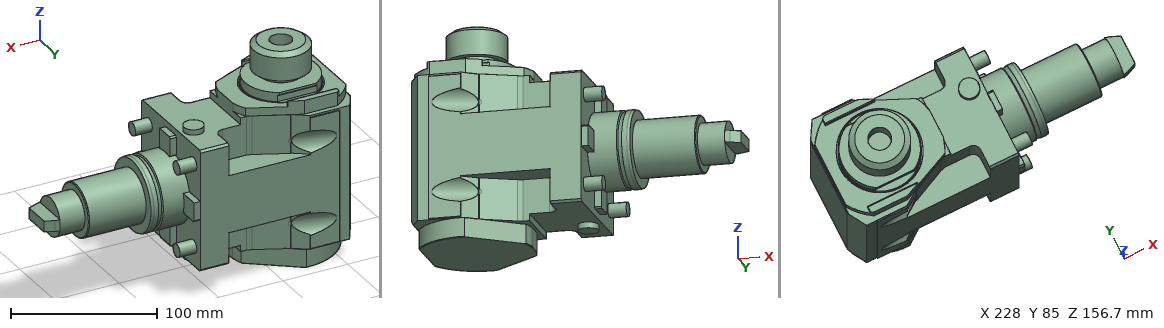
import cadquery as cq
import math


LEFT_X = -38.8
BODY_WIDTH = 85.0
HALF_WIDTH = BODY_WIDTH / 2
SIDE_RELIEF = 1.0
PAD_START_X = -22.8
PAD_TOP_GAP = 1.4
PAD_BOTTOM_GAP = 0.7
CORNER_X = -30.8
FRONT_HALF_WIDTH = 28.0
HOUSING_TOP = 52.0
HOUSING_BOTTOM = -51.5
HOUSING_RIGHT_X = 43.0
KINK_X, KINK_Y = 10.5, 34.2
KINK_STEP_X, KINK_STEP_Y = 0.5, 0.2
TAPER_END_X, TAPER_END_Y = 34.9, 23.3
WEB_HALF_WIDTH = 22.1
WEB_START_X = 38.5
FRONT_TOP_BEVEL = (0.7, 1.4)
FRONT_BOTTOM_BEVEL = (2.5, 4.0)

BEAM_HALF_HEIGHT = WEB_HALF_WIDTH
FLANGE_HALF_HEIGHT = 46.7
FLANGE_LEFT_X = 63.2
FLANGE_RIGHT_X = 85.0
FLANGE_CHAMFER = 1.5
POCKET_FILLET = 6.0

SCALLOP_DIAMETER = 19.4
SCALLOP_RADIUS = SCALLOP_DIAMETER / 2
SCALLOP_Z = 32.0
SCALLOP_ENTRY_X = -20.3
SCALLOP_EXIT_X = 11.6
SCALLOP_EXIT_Y = 34.0

PLATE_TOP = 58.1
PLATE_RADIUS = 44.5
PLATE_LEFT_X = -37.6
PLATE_HALF_WIDTH = 37.8
PLATE_TAPER_START = (2.3, PLATE_HALF_WIDTH)
PLATE_TAPER_END = (39.7, 21.2)
RAIL_TOP = 62.5
RAIL_INNER_Y = 32.1
RAIL_X = (-25.3, 12.5)
RAIL_BEVEL = 0.7
SEAT_RADIUS = 29.6
SEAT_DEPTH = 3.5
COLLAR_RADIUS = 28.5
COLLAR_TOP = 58.0
RING_RADIUS = 27.8
RING_TOP = 65.0
RING_LIP_HEIGHT = 2.0
RING_LIP_FLAT_Y = 24.0
RING_FLAT_Y = 23.3
NECK_RADIUS = 16.2
NECK_BASE_RADIUS = 13.7
NECK_CONE_TOP = 66.5
NUT_DIAMETER = 42.2
NUT_RADIUS = NUT_DIAMETER / 2
NUT_BOTTOM = 70.5
NUT_TOP = 91.2
NUT_BEVEL_RUN, NUT_BEVEL_DROP = 4.0, 3.0
BORE_DIAMETER = 16.2
BORE_DEPTH = 13.7

BASE_BOTTOM = -65.5
BASE_RADIUS = 41.0
BASE_LEFT_X = -35.0
BASE_RIGHT_X = 40.5
BASE_TAPER_START = (1.4, 41.7)
BASE_TAPER_END = (39.5, 13.5)
BASE_CHAMFER = 0.5

PIN_X, PIN_Y, PIN_RADIUS = 75.0, 13.7, 7.3
PIN_END_Z = 50.8
STUD_OFFSET, STUD_RADIUS, STUD_END_X = 32.0, 5.0, 98.0
KEY_END_X = 89.8
KEY_HALF_WIDTH = 7.5
KEY_REACH = 42.0
KEY_ROOT = 26.2
KEY_CHAMFER = 1.1

SPIGOT_RADIUS, SPIGOT_END_X = 27.4, 115.1
SPIGOT_BEVEL_RUN, SPIGOT_BEVEL_DROP = 2.0, 0.5
GROOVE_START_X, GROOVE_END_X, GROOVE_DEPTH = 105.8, 109.5, 1.1
GROOVE_WALL_RUN = 0.7
SHANK_RADIUS, SHANK_END_X, SHANK_CHAMFER = 20.0, 159.5, 0.7
TIP_RADIUS, TIP_END_X = 14.5, 178.8
TANG_THICKNESS = 8.5
TANG_SHOULDER_X, TANG_SHOULDER_Y = 182.2, 13.7
TANG_END_X, TANG_END_Y = 189.2, 10.7


def box(x0, x1, y0, y1, z0, z1):
    """Axis-aligned box between the given limits."""
    return cq.Workplane("XY").box(x1 - x0, y1 - y0, z1 - z0, centered=False).translate((x0, y0, z0))


def mirrored_prism(half_outline, z0, z1):
    """Prism whose outline is given for +Y and mirrored about the X axis."""
    other_half = [(x, -y) for x, y in reversed(half_outline)]
    outline = cq.Workplane("XY").workplane(offset=z0).polyline(half_outline + other_half).close()
    return outline.extrude(z1 - z0)


def disc(radius, z0, z1):
    """Upright cylinder about the Z axis."""
    return cq.Workplane("XY").workplane(offset=z0).circle(radius).extrude(z1 - z0)


def both_sides(solid):
    """Solid together with its mirror image across the XZ plane."""
    return solid.union(solid.mirror("XZ"))


def front_bevel(z_edge, bevel, direction):
    """Wedge that bevels the front face at a horizontal edge; direction is +1 for the top edge."""
    run, drop = bevel
    wedge = [(LEFT_X, z_edge), (LEFT_X + run, z_edge), (LEFT_X, z_edge - direction * drop)]
    return cq.Workplane("XZ").polyline(wedge).close().extrude(HALF_WIDTH, both=True)


def scallop(z):
    """Slanted round cutter entering the +Y side face and running out on the tapered side."""
    run = SCALLOP_EXIT_X - SCALLOP_ENTRY_X
    drop = HALF_WIDTH - SCALLOP_EXIT_Y
    length = math.hypot(run, drop)
    along = cq.Vector(run / length, -drop / length, 0)
    outward = cq.Vector(drop / length, run / length, 0)
    deepest = cq.Vector(SCALLOP_ENTRY_X, HALF_WIDTH, z)
    start = deepest + outward * SCALLOP_RADIUS - along * length
    return cq.Workplane(cq.Solid.makeCylinder(SCALLOP_RADIUS, 3 * length, start, along))


def make_housing():
    relief_y = HALF_WIDTH - SIDE_RELIEF
    core = mirrored_prism(
        [(LEFT_X, FRONT_HALF_WIDTH), (CORNER_X, relief_y), (0, relief_y), (KINK_X, KINK_Y),
         (KINK_X + KINK_STEP_X, KINK_Y + KINK_STEP_Y),
         (TAPER_END_X, TAPER_END_Y), (WEB_START_X, WEB_HALF_WIDTH), (HOUSING_RIGHT_X, WEB_HALF_WIDTH)],
        HOUSING_BOTTOM, HOUSING_TOP)
    pad_bottom = HOUSING_BOTTOM + PAD_BOTTOM_GAP
    pad_top = HOUSING_TOP - PAD_TOP_GAP
    pads = box(PAD_START_X, 0, -HALF_WIDTH, HALF_WIDTH, pad_bottom, pad_top)
    core = core.cut(front_bevel(HOUSING_TOP, FRONT_TOP_BEVEL, 1))
    core = core.cut(front_bevel(HOUSING_BOTTOM, FRONT_BOTTOM_BEVEL, -1))
    housing = core.union(pads)
    for z in (-SCALLOP_Z, SCALLOP_Z):
        housing = housing.cut(both_sides(scallop(z)))
    return housing


def make_beam_and_flange():
    flange = box(FLANGE_LEFT_X, FLANGE_RIGHT_X, -HALF_WIDTH, HALF_WIDTH,
                 -FLANGE_HALF_HEIGHT, FLANGE_HALF_HEIGHT)
    flange = flange.edges("|X").chamfer(FLANGE_CHAMFER)
    web = box(0, FLANGE_LEFT_X, -WEB_HALF_WIDTH, WEB_HALF_WIDTH,
              -FLANGE_HALF_HEIGHT, FLANGE_HALF_HEIGHT)
    body = flange.union(web)
    margin = POCKET_FILLET / 2
    inner_corners = cq.selectors.BoxSelector(
        (FLANGE_LEFT_X - margin, -WEB_HALF_WIDTH - margin, -margin),
        (FLANGE_LEFT_X + margin, WEB_HALF_WIDTH + margin, margin))
    body = body.edges("|Z").edges(inner_corners).fillet(POCKET_FILLET)
    beam = box(0, FLANGE_LEFT_X, -HALF_WIDTH, HALF_WIDTH, -BEAM_HALF_HEIGHT, BEAM_HALF_HEIGHT)
    return body.union(beam)


def plate_blank(z0, z1):
    """Round plate trimmed by the front flat, the side flats, the tapers and the right end."""
    outline = mirrored_prism(
        [(PLATE_LEFT_X, PLATE_HALF_WIDTH), PLATE_TAPER_START, PLATE_TAPER_END,
         (HOUSING_RIGHT_X, PLATE_TAPER_END[1])], z0, z1)
    return disc(PLATE_RADIUS, z0, z1).intersect(outline)


def make_plate():
    plate = plate_blank(HOUSING_TOP, PLATE_TOP)
    rail = box(*RAIL_X, RAIL_INNER_Y, PLATE_HALF_WIDTH, PLATE_TOP, RAIL_TOP)
    rail = rail.faces("<Y").edges(">Z").chamfer(RAIL_BEVEL)
    rails = both_sides(rail).intersect(plate_blank(PLATE_TOP, RAIL_TOP))
    return plate.union(rails).cut(disc(SEAT_RADIUS, PLATE_TOP - SEAT_DEPTH, PLATE_TOP))


def make_spindle():
    lip_bottom = RING_TOP - RING_LIP_HEIGHT
    collar = disc(COLLAR_RADIUS, PLATE_TOP - SEAT_DEPTH, COLLAR_TOP)
    ring = disc(RING_RADIUS, COLLAR_TOP, lip_bottom).intersect(
        box(-RING_RADIUS, RING_RADIUS, -RING_FLAT_Y, RING_FLAT_Y, COLLAR_TOP, lip_bottom))
    lip = disc(RING_RADIUS, lip_bottom, RING_TOP).intersect(
        box(-RING_RADIUS, RING_RADIUS, -RING_LIP_FLAT_Y, RING_LIP_FLAT_Y, lip_bottom, RING_TOP))
    profile = [(0, RING_TOP), (NECK_BASE_RADIUS, RING_TOP), (NECK_RADIUS, NECK_CONE_TOP),
               (NECK_RADIUS, NUT_BOTTOM), (NUT_RADIUS, NUT_BOTTOM), (NUT_RADIUS, NUT_TOP - NUT_BEVEL_DROP),
               (NUT_RADIUS - NUT_BEVEL_RUN, NUT_TOP), (0, NUT_TOP)]
    nut = cq.Workplane("XZ").polyline(profile).close().revolve(360, (0, 0), (0, 1))
    nut = nut.cut(disc(BORE_DIAMETER / 2, NUT_TOP - BORE_DEPTH, NUT_TOP))
    return collar.union(ring).union(lip).union(nut)


def make_base():
    outline = mirrored_prism(
        [(BASE_LEFT_X, BASE_TAPER_START[1]), BASE_TAPER_START, BASE_TAPER_END,
         (BASE_RIGHT_X, BASE_TAPER_END[1])],
        BASE_BOTTOM, HOUSING_BOTTOM)
    base = disc(BASE_RADIUS, BASE_BOTTOM, HOUSING_BOTTOM).faces("<Z").chamfer(BASE_CHAMFER)
    return base.intersect(outline)


def make_pins_and_keys():
    parts = disc(PIN_RADIUS, -PIN_END_Z, PIN_END_Z).translate((PIN_X, PIN_Y, 0))
    studs = cq.Workplane("YZ").workplane(offset=FLANGE_RIGHT_X)
    studs = studs.rect(2 * STUD_OFFSET, 2 * STUD_OFFSET, forConstruction=True).vertices().circle(STUD_RADIUS)
    parts = parts.union(studs.extrude(STUD_END_X - FLANGE_RIGHT_X))
    key = box(FLANGE_RIGHT_X, KEY_END_X, -KEY_HALF_WIDTH, KEY_HALF_WIDTH, KEY_ROOT, KEY_REACH)
    key = key.faces(">Y").edges("|X").chamfer(KEY_CHAMFER)
    for angle in (0, 90, 180, 270):
        parts = parts.union(key.rotate((0, 0, 0), (1, 0, 0), angle))
    return parts


def make_shank():
    profile = [(FLANGE_RIGHT_X, 0), (FLANGE_RIGHT_X, SPIGOT_RADIUS), (GROOVE_START_X, SPIGOT_RADIUS),
               (GROOVE_START_X + GROOVE_WALL_RUN, SPIGOT_RADIUS - GROOVE_DEPTH),
               (GROOVE_END_X, SPIGOT_RADIUS),
               (SPIGOT_END_X - SPIGOT_BEVEL_RUN, SPIGOT_RADIUS),
               (SPIGOT_END_X, SPIGOT_RADIUS - SPIGOT_BEVEL_DROP), (SPIGOT_END_X, SHANK_RADIUS),
               (SHANK_END_X - SHANK_CHAMFER, SHANK_RADIUS), (SHANK_END_X, SHANK_RADIUS - SHANK_CHAMFER),
               (SHANK_END_X, TIP_RADIUS), (TIP_END_X, TIP_RADIUS), (TIP_END_X, 0)]
    shank = cq.Workplane("XY").polyline(profile).close().revolve(360, (0, 0), (1, 0))
    tang = mirrored_prism(
        [(TIP_END_X, TIP_RADIUS), (TANG_SHOULDER_X, TANG_SHOULDER_Y), (TANG_END_X, TANG_END_Y)],
        -TANG_THICKNESS / 2, TANG_THICKNESS / 2)
    return shank.union(tang)


result = make_housing()
for piece in (make_beam_and_flange(), make_plate(), make_spindle(), make_base(),
              make_pins_and_keys(), make_shank()):
    result = result.union(piece)